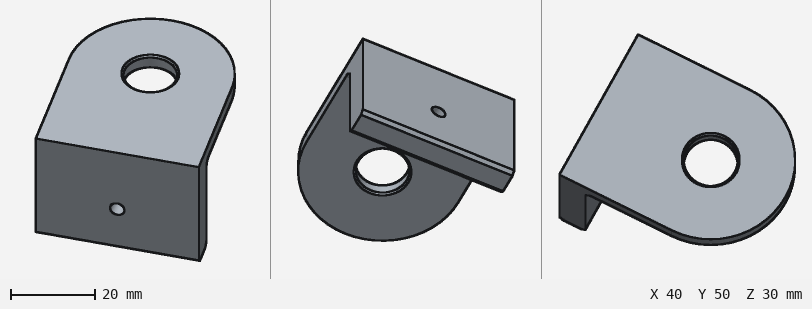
import cadquery as cq

width = 40.0
depth = 50.0
height = 30.0

plate_thickness = 4.0
wall_thickness = 7.0
inner_fillet = 2.0
wall_edge_chamfer = 1.0

plate_hole_diameter = 12.7
plate_hole_chamfer = 0.5
wall_hole_diameter = 3.53
wall_hole_height = 12.5

end_radius = width / 2
end_center_y = depth - end_radius
plate_bottom = height - plate_thickness


def make_plate():
    """Horizontal plate with a full-round free end."""
    return (
        cq.Workplane("XY", origin=(0, 0, plate_bottom))
        .moveTo(-width / 2, 0)
        .lineTo(width / 2, 0)
        .lineTo(width / 2, end_center_y)
        .threePointArc((0, depth), (-width / 2, end_center_y))
        .close()
        .extrude(plate_thickness)
    )


def make_wall():
    """Vertical wall with both long lower edges chamfered."""
    wall = cq.Workplane("XY").box(width, wall_thickness, height, centered=(True, False, False))
    return wall.faces("<Z").edges("|X").chamfer(wall_edge_chamfer)


def fillet_inner_corner(body):
    """Round the concave corner between the wall and the plate."""
    corner = cq.selectors.NearestToPointSelector((0, wall_thickness, plate_bottom))
    return body.edges("|X").edges(corner).fillet(inner_fillet)


def make_plate_hole():
    """Cutter for the through hole in the plate, chamfered at both mouths."""
    bore_radius = plate_hole_diameter / 2
    mouth_radius = bore_radius + plate_hole_chamfer
    return (
        cq.Workplane("XZ", origin=(0, end_center_y, 0))
        .moveTo(0, plate_bottom)
        .lineTo(mouth_radius, plate_bottom)
        .lineTo(bore_radius, plate_bottom + plate_hole_chamfer)
        .lineTo(bore_radius, height - plate_hole_chamfer)
        .lineTo(mouth_radius, height)
        .lineTo(0, height)
        .close()
        .revolve(360, (0, 0, 0), (0, 1, 0))
    )


def make_wall_hole():
    """Cutter for the small through hole in the wall."""
    return (
        cq.Workplane("XZ", origin=(0, 0, wall_hole_height))
        .circle(wall_hole_diameter / 2)
        .extrude(-wall_thickness)
    )


bracket = fillet_inner_corner(make_plate().union(make_wall()))
result = bracket.cut(make_plate_hole()).cut(make_wall_hole())